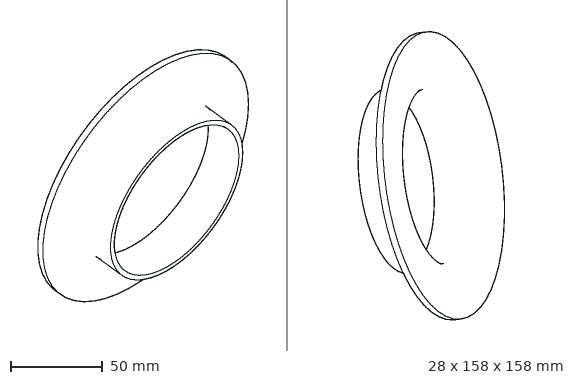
import cadquery as cq

flange_diameter = 158.0
flange_thickness = 4.0
tube_outer_diameter = 101.6
bore_diameter = 95.6
total_length = 28.0
neck_outer_radius = 5.0
bore_entry_radius = 7.0


def disc(diameter, length):
    """Cylinder along +X that starts at the flange face."""
    return cq.Workplane("YZ").circle(diameter / 2).extrude(length)


smallest_circle = cq.selectors.RadiusNthSelector(0)

flange = disc(flange_diameter, flange_thickness)
collar = flange.union(disc(tube_outer_diameter, total_length))
flange_back = collar.faces("<X[-2]")
collar = flange_back.edges(smallest_circle).fillet(neck_outer_radius)

collar = collar.cut(disc(bore_diameter, total_length))
result = collar.faces("<X").edges(smallest_circle).fillet(bore_entry_radius)